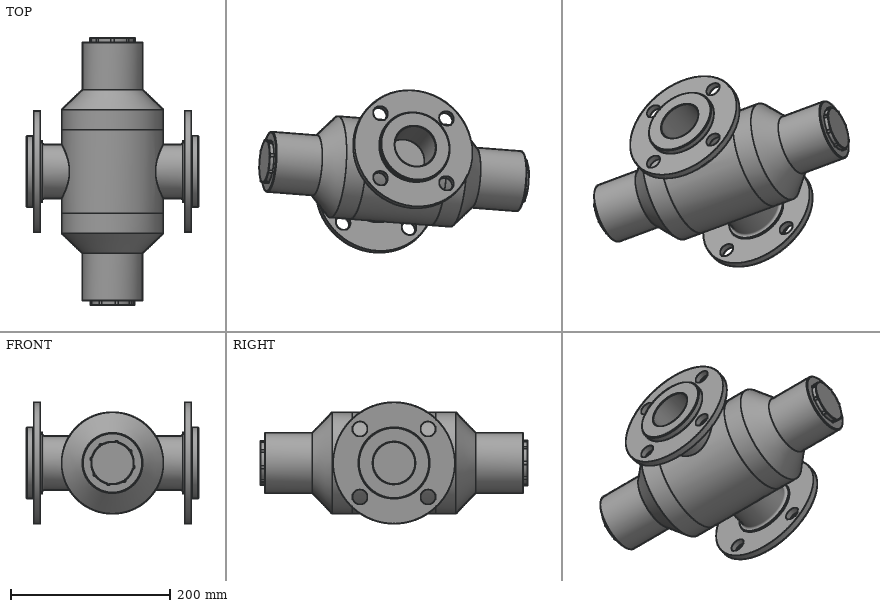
import cadquery as cq
import math

overall_length = 336.8
barrel_diameter = 128.0
barrel_length = 104.5
reducer_straight = 25.5
reducer_cone = 25.0
neck_diameter = 76.0
neck_edge_chamfer = 1.0
plug_diameter = 54.0
plug_thickness = 5.7
plug_edge_chamfer = 0.7
lug_count = 8
lug_diameter = 4.0
lug_reach = 57.0
front_lug_angle = 33.75
rear_lug_angle = 0.0

overall_width = 216.2
pipe_diameter = 68.5
pipe_bore = 53.0
pipe_seat = 50.5
collar_diameter = 90.0
collar_thickness = 9.0
collar_edge_chamfer = 1.0
bore_mouth_chamfer = 0.7
hub_diameter = 77.0
hub_overhang = 2.0
hub_fillet = 3.0
flange_diameter = 153.0
flange_bore = 78.0
flange_thickness = 8.5
bolt_circle = 121.0
bolt_hole_diameter = 19.0
bolt_count = 4

half_barrel = barrel_length / 2
plug_seat = overall_length / 2 - plug_thickness
collar_face = overall_width / 2
flange_face = collar_face - collar_thickness
flange_back = flange_face - flange_thickness
hub_back = flange_back - hub_overhang

Z_AXIS = ((0, 0, 0), (0, 0, 1))


def x_cylinder(diameter, x_start, x_end):
    """Cylinder on the X axis between two X positions."""
    return cq.Workplane("YZ", origin=(x_start, 0, 0)).circle(diameter / 2).extrude(x_end - x_start)


def make_barrel():
    """Central cylinder with a flat-bottomed seat for the stub pipe on each side."""
    barrel_end = cq.Workplane("XZ", origin=(0, half_barrel, 0))
    barrel = barrel_end.circle(barrel_diameter / 2).extrude(barrel_length)
    for side in (-1, 1):
        barrel = barrel.cut(x_cylinder(pipe_diameter, side * pipe_seat, side * barrel_diameter / 2))
    return barrel


def make_reducer():
    """Reducer at the +Y end: straight stretch, cone and long neck."""
    barrel_radius = barrel_diameter / 2
    neck_radius = neck_diameter / 2
    cone_start = half_barrel + reducer_straight
    cone_end = cone_start + reducer_cone
    return (
        cq.Workplane("XY")
        .moveTo(0, half_barrel)
        .lineTo(barrel_radius, half_barrel)
        .lineTo(barrel_radius, cone_start)
        .lineTo(neck_radius, cone_end)
        .lineTo(neck_radius, plug_seat)
        .lineTo(0, plug_seat)
        .close()
        .revolve(360, (0, 0, 0), (0, 1, 0))
        .faces(">Y")
        .chamfer(neck_edge_chamfer)
    )


def make_plug(lug_angle):
    """Plug on the -Y end: a disc with small rounded lugs around its rim."""
    seat = cq.Workplane("XZ", origin=(0, -plug_seat, 0))
    lug_circle_radius = (lug_reach - lug_diameter) / 2
    lugs = (
        seat.polarArray(lug_circle_radius, lug_angle, 360, lug_count)
        .circle(lug_diameter / 2)
        .extrude(plug_thickness)
        .faces("<Y")
        .chamfer(plug_edge_chamfer)
    )
    disc = seat.circle(plug_diameter / 2).extrude(plug_thickness).faces("<Y").chamfer(plug_edge_chamfer)
    return disc.union(lugs)


def make_stub():
    """Stub pipe on the +X side, with its collar, hub and through bore."""
    pipe_radius = pipe_diameter / 2
    hub_radius = hub_diameter / 2
    collar_radius = collar_diameter / 2
    fillet_start = hub_back - hub_fillet
    fillet_sag = hub_fillet * (1 - math.sqrt(0.5))
    body = (
        cq.Workplane("XY")
        .moveTo(pipe_seat, 0)
        .lineTo(pipe_seat, pipe_radius)
        .lineTo(fillet_start, pipe_radius)
        .threePointArc(
            (hub_back - fillet_sag, pipe_radius + fillet_sag),
            (hub_back, pipe_radius + hub_fillet),
        )
        .lineTo(hub_back, hub_radius)
        .lineTo(flange_face, hub_radius)
        .lineTo(flange_face, collar_radius)
        .lineTo(collar_face, collar_radius)
        .lineTo(collar_face, 0)
        .close()
        .revolve(360, (0, 0, 0), (1, 0, 0))
        .edges(cq.selectors.RadiusNthSelector(-1))
        .chamfer(collar_edge_chamfer)
    )
    bored = body.cut(x_cylinder(pipe_bore, pipe_seat, collar_face))
    bore_mouth = bored.faces(">X").edges(cq.selectors.RadiusNthSelector(0))
    return bore_mouth.chamfer(bore_mouth_chamfer)


def make_flange():
    """Loose flange on the +X side, slipped over the hub against the collar."""
    first_bolt_angle = 180 / bolt_count
    bolt_holes = (
        cq.Workplane("YZ", origin=(flange_back, 0, 0))
        .polarArray(bolt_circle / 2, first_bolt_angle, 360, bolt_count)
        .circle(bolt_hole_diameter / 2)
        .extrude(flange_thickness)
    )
    flange = x_cylinder(flange_diameter, flange_back, flange_face)
    return flange.cut(x_cylinder(flange_bore, flange_back, flange_face)).cut(bolt_holes)


barrel = make_barrel()
front_plug = make_plug(front_lug_angle)
rear_plug = make_plug(rear_lug_angle).rotate(*Z_AXIS, 180)

bodies = [barrel.val(), front_plug.val(), rear_plug.val()]
for turn in (0, 180):
    for make_body in (make_reducer, make_stub, make_flange):
        bodies.append(make_body().rotate(*Z_AXIS, turn).val())

result = cq.Compound.makeCompound(bodies)